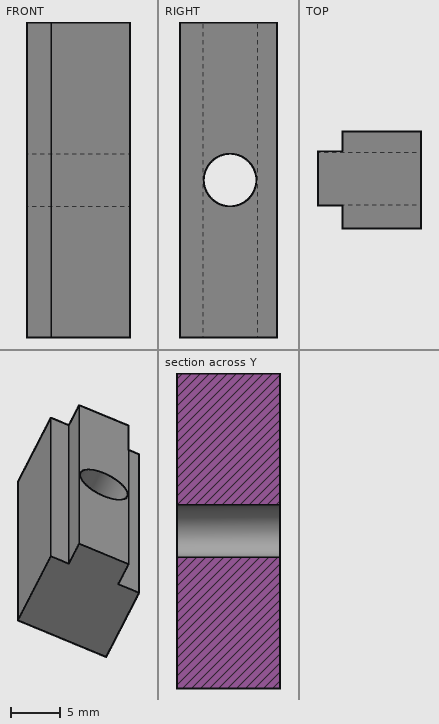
import cadquery as cq

width = 10.5
depth = 9.9
height = 32.0

tongue_projection = 2.5
tongue_width = 5.55
back_shoulder = 2.0

hole_diameter = 5.3

tongue_back = depth / 2 - back_shoulder
tongue_center = tongue_back - tongue_width / 2


def make_body():
    """Rectangular bar behind the tongue."""
    body_width = width - tongue_projection
    body_center = tongue_projection / 2
    return cq.Workplane("XY").box(body_width, depth, height).translate((body_center, 0, 0))


def make_tongue():
    """Full-height tongue, run through to the +X face so it joins the body."""
    return cq.Workplane("XY").box(width, tongue_width, height).translate((0, tongue_center, 0))


def make_hole():
    """Cylinder along X, centred on the tongue at mid height."""
    return (
        cq.Workplane("YZ")
        .center(tongue_center, 0)
        .circle(hole_diameter / 2)
        .extrude(width / 2, both=True)
    )


result = make_body().union(make_tongue()).cut(make_hole())